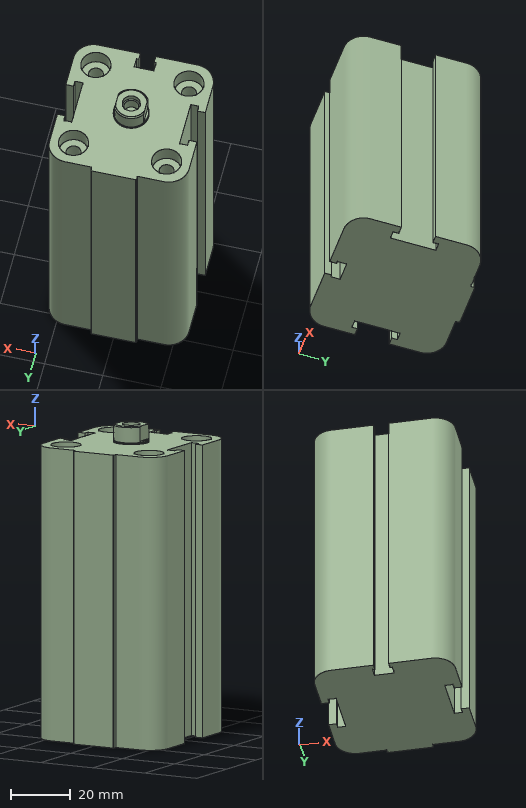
import cadquery as cq

TOTAL_HEIGHT = 105.5
ROD_PROJECTION = 6.0
HOUSING_HEIGHT = TOTAL_HEIGHT - ROD_PROJECTION
HOUSING_WIDTH = 48.0
CORNER_RADIUS = 7.0

RIB_WIDTH = 15.7
RIB_HEIGHT = 1.5
RIB_CHAMFER = 0.3

SIDE_SLOT_MOUTH = 12.0
SIDE_SLOT_WIDTH = 16.0
SIDE_SLOT_LIP = 2.7
SIDE_SLOT_DEPTH = 5.5
FRONT_SLOT_MOUTH = 5.2
FRONT_SLOT_WIDTH = 6.8
FRONT_SLOT_LIP = 2.4
FRONT_SLOT_DEPTH = 5.7

MOUNT_PITCH = 32.0
MOUNT_HOLE_DIAMETER = 5.0
MOUNT_HOLE_DEPTH = 14.5
COUNTERBORE_DIAMETER = 10.0
COUNTERBORE_DEPTH = 5.7

ROD_BASE_DIAMETER = 12.0
ROD_BASE_HEIGHT = 0.26
ROD_TAPER_HEIGHT = 0.26
ROD_DIAMETER = 11.7
ROD_CHAMFER_INSET = 0.5
ROD_CHAMFER_HEIGHT = 0.3
FLATS_WIDTH = 10.0
FLATS_OFFSET = 1.0
ROD_HOLE_DIAMETER = 5.0
ROD_RECESS_DIAMETER = 6.0
ROD_RECESS_DEPTH = 1.9


def make_t_slot(mouth, width, lip, depth):
    """T-slot cutter for the -Y side, running the full housing height."""
    outer_face = -HOUSING_WIDTH / 2
    neck = cq.Workplane("XY").center(0, outer_face + depth / 2).rect(mouth, depth)
    head = cq.Workplane("XY").center(0, outer_face + (lip + depth) / 2).rect(width, depth - lip)
    return neck.extrude(HOUSING_HEIGHT).union(head.extrude(HOUSING_HEIGHT))


def make_rib():
    """Low rib on the +Y side with its two outer edges chamfered."""
    rib_end = HOUSING_WIDTH / 2 + RIB_HEIGHT
    return (
        cq.Workplane("XY")
        .center(0, rib_end / 2)
        .rect(RIB_WIDTH, rib_end)
        .extrude(HOUSING_HEIGHT)
        .edges("|Z and >Y")
        .chamfer(RIB_CHAMFER)
    )


def make_housing():
    """Square barrel with rounded corners, a rib, T-slots and mounting holes."""
    barrel = (
        cq.Workplane("XY")
        .rect(HOUSING_WIDTH, HOUSING_WIDTH)
        .extrude(HOUSING_HEIGHT)
        .edges("|Z")
        .fillet(CORNER_RADIUS)
        .union(make_rib())
    )

    front_slot = make_t_slot(FRONT_SLOT_MOUTH, FRONT_SLOT_WIDTH, FRONT_SLOT_LIP, FRONT_SLOT_DEPTH)
    side_slot = make_t_slot(SIDE_SLOT_MOUTH, SIDE_SLOT_WIDTH, SIDE_SLOT_LIP, SIDE_SLOT_DEPTH)
    barrel = barrel.cut(front_slot)
    for angle in (-90, 90):
        barrel = barrel.cut(side_slot.rotate((0, 0, 0), (0, 0, 1), angle))

    return (
        barrel.faces(">Z")
        .workplane(origin=(0, 0, HOUSING_HEIGHT))
        .rect(MOUNT_PITCH, MOUNT_PITCH, forConstruction=True)
        .vertices()
        .cboreHole(MOUNT_HOLE_DIAMETER, COUNTERBORE_DIAMETER, COUNTERBORE_DEPTH, MOUNT_HOLE_DEPTH)
    )


def make_rod():
    """Rod end standing on the housing: wider base, chamfered top, flats and a stepped through hole."""
    rod_radius = ROD_DIAMETER / 2
    half_profile = [
        (0, 0),
        (ROD_BASE_DIAMETER / 2, 0),
        (ROD_BASE_DIAMETER / 2, ROD_BASE_HEIGHT),
        (rod_radius, ROD_BASE_HEIGHT + ROD_TAPER_HEIGHT),
        (rod_radius, ROD_PROJECTION - ROD_CHAMFER_HEIGHT),
        (rod_radius - ROD_CHAMFER_INSET, ROD_PROJECTION),
        (0, ROD_PROJECTION),
    ]
    rod = cq.Workplane("XZ").polyline(half_profile).close().revolve(360, (0, 0, 0), (0, 1, 0))

    blank_width = 2 * ROD_BASE_DIAMETER
    flats_height = ROD_PROJECTION - FLATS_OFFSET
    flats_region = (
        cq.Workplane("XY", origin=(0, 0, FLATS_OFFSET))
        .rect(blank_width, blank_width)
        .rect(FLATS_WIDTH, blank_width)
        .extrude(flats_height)
    )
    rod = rod.cut(flats_region)

    rod = (
        rod.faces(">Z")
        .workplane(origin=(0, 0, ROD_PROJECTION))
        .cboreHole(ROD_HOLE_DIAMETER, ROD_RECESS_DIAMETER, ROD_RECESS_DEPTH)
    )
    return rod.translate((0, 0, HOUSING_HEIGHT))


housing = make_housing()
rod = make_rod()
result = cq.Compound.makeCompound([housing.val(), rod.val()])